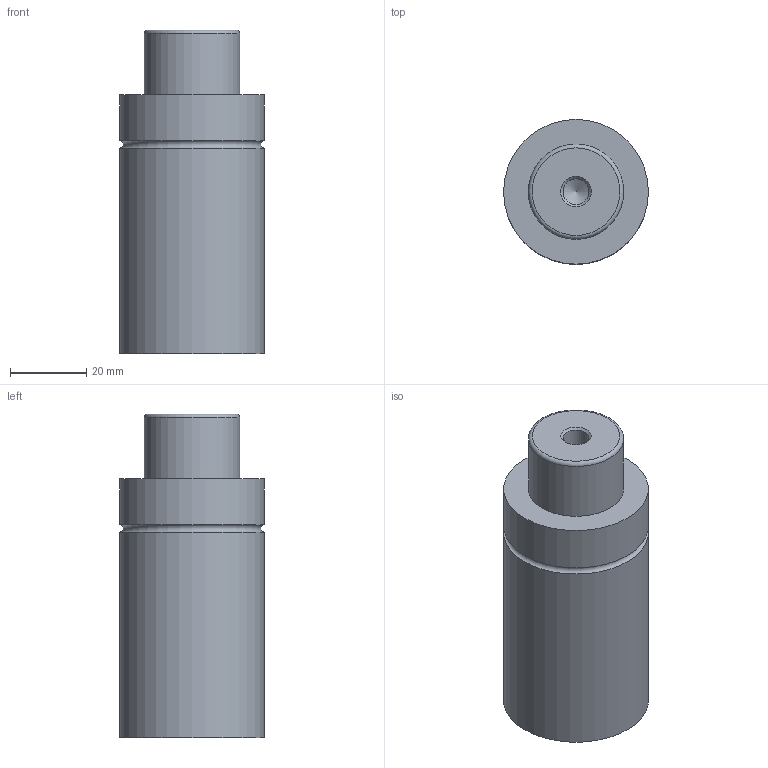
import cadquery as cq
import math

total_height = 85.0
body_radius = 38.0 / 2

spigot_radius = 25.0 / 2
spigot_height = 17.0
spigot_edge_radius = 1.0
shoulder_z = total_height - spigot_height

groove_radius = 1.0
groove_z = 55.0

hole_radius = 6.8 / 2
hole_mouth_radius = 8.0 / 2
hole_depth = 20.0
drill_point_angle = 118.0


def make_body():
    """Revolve the cylinder and its spigot around Z."""
    cylinder = cq.Workplane("XY").circle(body_radius).extrude(shoulder_z)
    spigot = (
        cq.Workplane("XY", origin=(0, 0, shoulder_z))
        .circle(spigot_radius)
        .extrude(spigot_height)
        .faces(">Z")
        .edges()
        .fillet(spigot_edge_radius)
    )
    return cylinder.union(spigot)


def make_groove():
    """Ring of round section centred on the body surface."""
    return (
        cq.Workplane("XZ")
        .center(body_radius, groove_z)
        .circle(groove_radius)
        .revolve(360, (-body_radius, 0, 0), (-body_radius, 1, 0))
    )


def make_hole():
    """Drilled hole with a 45 degree countersink and a conical bottom."""
    countersink_depth = hole_mouth_radius - hole_radius
    point_length = hole_radius / math.tan(math.radians(drill_point_angle / 2))
    hole_bottom_z = total_height - hole_depth
    return (
        cq.Workplane("XZ")
        .moveTo(0, total_height)
        .lineTo(hole_mouth_radius, total_height)
        .lineTo(hole_radius, total_height - countersink_depth)
        .lineTo(hole_radius, hole_bottom_z)
        .lineTo(0, hole_bottom_z - point_length)
        .close()
        .revolve(360, (0, 0, 0), (0, 1, 0))
    )


result = make_body().cut(make_groove()).cut(make_hole())